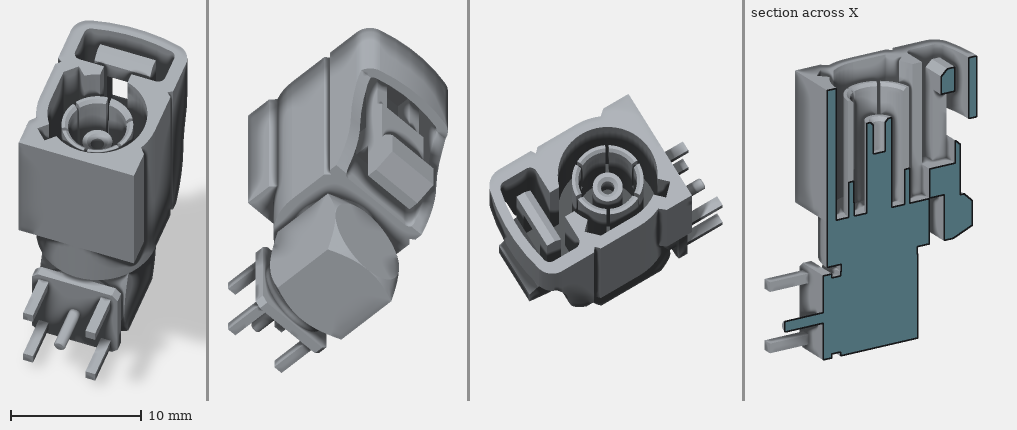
import cadquery as cq
import math


elbow_side = 7.0
elbow_corner_drop = 0.82
collar_diameter = 6.89
neck_diameter = 6.35
plate_back = 4.25
plate_front = 5.04
plate_corner_cut = 0.47
pin_tip = 8.51
pin_spacing = 5.08
pin_side = 0.8
signal_pin_diameter = 0.91
signal_pin_chamfer = 0.1

total_height = 22.3
housing_bottom = 7.58
housing_width = 9.4
block_bottom = 11.37
block_top_y = -2.45
back_y = 8.8
back_arc_radius = 14.49
back_corner_radius = 1.47
groove_depth = 0.38
groove_y = (3.45, 3.81, 4.05)
side_groove_x = 4.28
scoop_top = 17.2
scoop_points = [(7.35, scoop_top), (6.6, 14.71), (6.3, 12.25), (5.88, 9.75), (4.75, housing_bottom)]

window_width = 7.35
window_front_y = 4.5
window_wall = 0.78
window_corner_radius = 0.58

bore_radius = 3.83
bore_floor = block_bottom
key_width = 1.3
key_angles = (135, 225)
latch_slot_width = 2.23

sleeve_outer_diameter = 5.5
sleeve_rim_diameter = 5.0
sleeve_inner_diameter = 4.5
sleeve_top = 20.95
slit_width = 0.27
slit_count = 6
slit_depth = 6.69
socket_diameter = 2.3
socket_top = 18.81
socket_mouth_diameter = 1.6
socket_hole_diameter = 1.03
socket_hole_depth = 2.67

latch_width = 4.55
latch_inner_y = 5.55
latch_foot_y = 5.8
latch_arm_y = 7.29
latch_ridge_y = (6.1, 6.8)
latch_top = 21.78
latch_lip_z = 21.25
latch_step_z = (15.27, 15.71)
hinge_top = 13.82
pad_back_y = 8.38
pad_slope_range_z = (10.36, 11.1)
pad_top_y = 7.62
pad_bottom_y = 6.65
pad_bottom_z = 8.31
catch_width = 2.5
catch_top = 19.75

half_elbow = elbow_side / 2
half_width = housing_width / 2
key_reach = bore_radius * math.sqrt(2) - key_width / 2
pocket_length_y = bore_radius - key_width / math.sqrt(2)


def prism(outline, bottom, top):
    """Extrude a closed XY outline between two heights."""
    return outline.extrude(top - bottom).translate((0, 0, bottom))


def box(x_range, y_range, z_range):
    """Block between the low and high limits given for each axis."""
    ranges = (x_range, y_range, z_range)
    size = [high - low for low, high in ranges]
    return cq.Workplane("XY").box(*size, centered=False).translate([low for low, _ in ranges])


def rod(diameter, bottom, top):
    """Upright cylinder on the bore axis."""
    return prism(cq.Workplane("XY").circle(diameter / 2), bottom, top)


def pin_plane(y):
    """Plane facing -Y through the centre of the solder side."""
    return cq.Workplane(cq.Plane(origin=(0, y, half_elbow), xDir=(1, 0, 0), normal=(0, -1, 0)))


def along_x(outline_yz, width):
    """Extrude a closed YZ outline symmetrically about X = 0."""
    return outline_yz.extrude(width / 2, both=True)


def back_arc_drop(radius, x):
    """How far an arc with its crest at X = 0 has fallen at a given X."""
    return radius - math.sqrt(radius**2 - x**2)


def make_elbow():
    """Cube-shaped elbow with its collar, solder plate and pins."""
    cube = pin_plane(half_elbow).rect(elbow_side, elbow_side).extrude(elbow_side)
    corner_radius = half_elbow * math.sqrt(2)
    turned = (
        cq.Workplane("XY")
        .moveTo(0, -half_elbow)
        .lineTo(half_elbow, -half_elbow)
        .lineTo(corner_radius, -half_elbow + elbow_corner_drop)
        .lineTo(corner_radius, half_elbow - elbow_corner_drop)
        .lineTo(half_elbow, half_elbow)
        .lineTo(0, half_elbow)
        .close()
        .revolve(360, (0, 0, 0), (0, 1, 0))
        .translate((0, 0, half_elbow))
    )
    collar = rod(collar_diameter, half_elbow, housing_bottom)
    neck = pin_plane(0).circle(neck_diameter / 2).extrude(plate_back)
    plate = (
        pin_plane(-plate_back)
        .rect(elbow_side, elbow_side)
        .extrude(plate_front - plate_back)
        .edges("|Y")
        .chamfer(plate_corner_cut)
    )
    ground_pins = (
        pin_plane(-plate_back)
        .rect(pin_spacing, pin_spacing, forConstruction=True)
        .vertices()
        .rect(pin_side, pin_side)
        .extrude(pin_tip - plate_back)
    )
    signal_pin = (
        pin_plane(-plate_back)
        .circle(signal_pin_diameter / 2)
        .extrude(pin_tip - plate_back)
        .faces("<Y")
        .chamfer(signal_pin_chamfer)
    )
    return cube.intersect(turned).union(collar).union(neck).union(plate).union(ground_pins).union(signal_pin)


def make_shell():
    """Housing outside: rounded at the bottom front, square higher up, bowed at the back."""
    side_back_y = back_y - back_arc_drop(back_arc_radius, half_width)
    shell = prism(
        cq.Workplane("XY")
        .moveTo(-half_width, 0)
        .threePointArc((0, -half_width), (half_width, 0))
        .lineTo(half_width, side_back_y)
        .threePointArc((0, back_y), (-half_width, side_back_y))
        .close(),
        housing_bottom,
        total_height,
    )
    shell = shell.edges("|Z").edges(">Y").fillet(back_corner_radius)

    arc_end_y = -math.sqrt(half_width**2 - side_groove_x**2)
    block = prism(
        cq.Workplane("XY").polyline(
            [
                (-half_width, -half_width),
                (half_width, -half_width),
                (half_width, block_top_y),
                (side_groove_x, arc_end_y),
                (-side_groove_x, arc_end_y),
                (-half_width, block_top_y),
            ]
        ).close(),
        block_bottom,
        total_height,
    )
    shell = shell.union(block)

    low_y, root_y, high_y = groove_y
    for side in (-1, 1):
        edge_x = side * half_width
        root_x = side * (half_width - groove_depth)
        groove = cq.Workplane("XY").polyline([(edge_x, low_y), (root_x, root_y), (edge_x, high_y)]).close()
        shell = shell.cut(prism(groove, housing_bottom, total_height))
    return shell


def make_window():
    """Opening behind the bore in which the latch stands."""
    half_window = window_width / 2
    arc_y = back_y - window_wall
    corner_y = arc_y - back_arc_drop(back_arc_radius - window_wall, half_window)
    outline = (
        cq.Workplane("XY")
        .moveTo(-half_window, window_front_y)
        .lineTo(half_window, window_front_y)
        .lineTo(half_window, corner_y)
        .threePointArc((0, arc_y), (-half_window, corner_y))
        .close()
    )
    return prism(outline, housing_bottom, total_height).edges("|Z").fillet(window_corner_radius)


def make_scoop():
    """S-shaped sweep that takes away the lower back of the housing."""
    start, upper_mid, turn, lower_mid, end = scoop_points
    outline = (
        cq.Workplane("YZ")
        .moveTo(*start)
        .threePointArc(upper_mid, turn)
        .threePointArc(lower_mid, end)
        .lineTo(back_y, housing_bottom)
        .lineTo(back_y, scoop_top)
        .close()
    )
    return along_x(outline, housing_width)


def make_bore():
    """Cavity for the mating plug, with a side pocket, two key slots and a slot to the window."""
    depth = (bore_floor, total_height)
    bore = rod(2 * bore_radius, *depth)
    bore = bore.union(box((-bore_radius, 0), (0, pocket_length_y), depth))
    half_slot = latch_slot_width / 2
    bore = bore.union(box((-half_slot, half_slot), (0, window_front_y), depth))
    key = box((0, key_reach), (-key_width / 2, key_width / 2), depth)
    for angle in key_angles:
        bore = bore.union(key.rotate((0, 0, 0), (0, 0, 1), angle))
    return bore


def make_sleeve():
    """Slit contact sleeve with a funnel mouth."""
    outer = sleeve_outer_diameter / 2
    rim = sleeve_rim_diameter / 2
    inner = sleeve_inner_diameter / 2
    sleeve = (
        cq.Workplane("XZ")
        .polyline(
            [
                (inner, bore_floor),
                (outer, bore_floor),
                (outer, sleeve_top),
                (rim, sleeve_top),
                (inner, sleeve_top - (rim - inner)),
            ]
        )
        .close()
        .revolve(360, (0, 0, 0), (0, 1, 0))
    )
    slit = box((0, outer), (-slit_width / 2, slit_width / 2), (sleeve_top - slit_depth, sleeve_top))
    for index in range(slit_count):
        angle = 90 + index * 360 / slit_count
        sleeve = sleeve.cut(slit.rotate((0, 0, 0), (0, 0, 1), angle))
    return sleeve


def make_socket():
    """Centre contact with a countersunk hole."""
    hole = rod(socket_hole_diameter, socket_top - socket_hole_depth, socket_top)
    hole = hole.union(
        cq.Workplane("XY", origin=(0, 0, socket_top))
        .circle(socket_mouth_diameter / 2)
        .extrude(-(socket_mouth_diameter - socket_hole_diameter) / 2, taper=45)
    )
    return rod(socket_diameter, bore_floor, socket_top).cut(hole)


def make_latch():
    """Upright arm with a ridged head, a thumb pad at its foot and a hinge to the housing."""
    ridge_front_y, ridge_back_y = latch_ridge_y
    step_bottom, step_top = latch_step_z
    pad_slope_z, pad_upper_z = pad_slope_range_z
    outline = cq.Workplane("YZ").polyline(
        [
            (window_front_y, bore_floor),
            (latch_foot_y, bore_floor),
            (latch_foot_y, housing_bottom),
            (pad_bottom_y, housing_bottom),
            (pad_back_y, pad_bottom_z),
            (pad_back_y, pad_slope_z),
            (pad_top_y, pad_upper_z),
            (latch_arm_y, pad_upper_z),
            (latch_arm_y, step_bottom),
            (ridge_back_y, step_top),
            (ridge_back_y, latch_top),
            (ridge_front_y, latch_top),
            (latch_inner_y, latch_lip_z),
            (latch_inner_y, hinge_top),
            (window_front_y, hinge_top),
        ]
    ).close()
    half_catch = catch_width / 2
    catch = box((-half_catch, half_catch), (latch_inner_y, ridge_back_y), (hinge_top, catch_top))
    return along_x(outline, latch_width).cut(catch)


housing = make_shell().cut(make_window()).cut(make_scoop()).cut(make_bore())
result = housing.union(make_latch()).union(make_sleeve()).union(make_socket()).union(make_elbow())